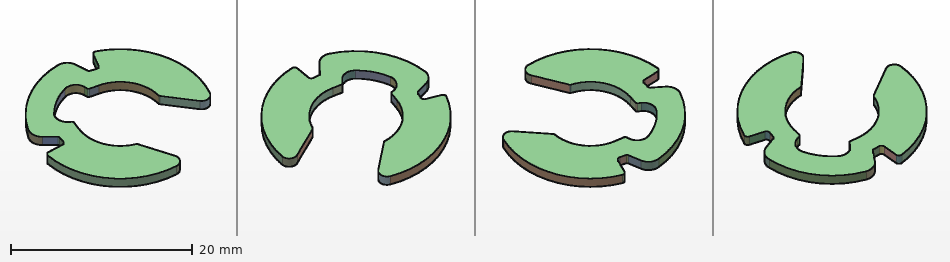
import cadquery as cq
import math

thickness = 1.28
outer_radius = 10.45
bore_radius = 5.17
relief_radius = 7.32

jaw_bore_height = 4.05
jaw_end_height = 4.81
notch_head_height = 8.6
notch_back_height = 6.49
relief_end_height = 3.51

notch_floor_front = (-4.4, 6.38)
notch_floor_back = (-5.4, 5.55)
tooth_x = -4.56

jaw_end_fillet = 0.98
jaw_bore_fillet = 0.2
notch_head_fillet = 0.42
notch_front_fillet = 0.42
notch_back_fillet = 0.2
back_shoulder_fillet = 1.57
relief_fillet = 1.46
tooth_fillet = 0.2


def on_circle(radius, height, side):
    """Point at a height on a circle, on its right (+1) or left (-1) side."""
    return (side * math.sqrt(radius**2 - height**2), height)


def mirrored(point):
    return (point[0], -point[1])


jaw_bore = on_circle(bore_radius, jaw_bore_height, 1)
jaw_end = on_circle(outer_radius, jaw_end_height, 1)
notch_head = on_circle(outer_radius, notch_head_height, -1)
notch_back = on_circle(outer_radius, notch_back_height, -1)
relief_end = on_circle(relief_radius, relief_end_height, -1)

flank_top = on_circle(bore_radius, bore_radius * math.sin(math.radians(45)), -1)
tooth = (tooth_x, flank_top[1] + tooth_x - flank_top[0])

outline = (
    cq.Workplane("XY")
    .moveTo(*jaw_bore)
    .lineTo(*jaw_end)
    .threePointArc((0, outer_radius), notch_head)
    .lineTo(*notch_floor_front)
    .lineTo(*notch_floor_back)
    .lineTo(*notch_back)
    .threePointArc((-outer_radius, 0), mirrored(notch_back))
    .lineTo(*mirrored(notch_floor_back))
    .lineTo(*mirrored(notch_floor_front))
    .lineTo(*mirrored(notch_head))
    .threePointArc((0, -outer_radius), mirrored(jaw_end))
    .lineTo(*mirrored(jaw_bore))
    .threePointArc((0, -bore_radius), mirrored(flank_top))
    .lineTo(*mirrored(tooth))
    .lineTo(*mirrored(relief_end))
    .threePointArc((-relief_radius, 0), relief_end)
    .lineTo(*tooth)
    .lineTo(*flank_top)
    .threePointArc((0, bore_radius), jaw_bore)
    .close()
)
result = outline.extrude(thickness)

corner_fillets = [
    (jaw_end, jaw_end_fillet),
    (jaw_bore, jaw_bore_fillet),
    (notch_head, notch_head_fillet),
    (notch_floor_front, notch_front_fillet),
    (notch_floor_back, notch_back_fillet),
    (notch_back, back_shoulder_fillet),
    (relief_end, relief_fillet),
    (tooth, tooth_fillet),
]
for corner, radius in corner_fillets:
    for x, y in (corner, mirrored(corner)):
        edge = cq.selectors.NearestToPointSelector((x, y, thickness / 2))
        result = result.edges("|Z").edges(edge).fillet(radius)